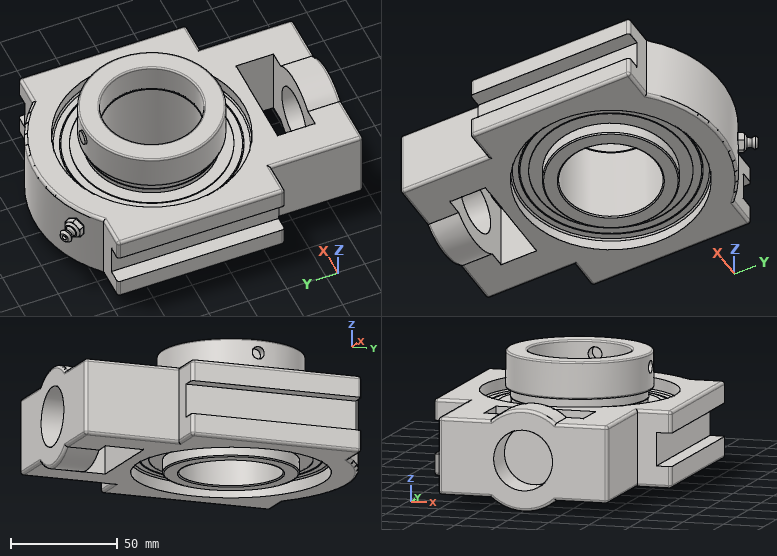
import cadquery as cq
import math


body_width = 117.0
rail_length = 86.0
body_thickness = 37.0
crown_radius = 60.0
neck_width = 83.5
neck_end_y = -90.4
edge_round = 1.5
guide_width = 16.0
guide_depth = 7.5
window_width = 49.0
window_back_y = -54.0
window_front_y = -73.2
boss_diameter = 49.0
screw_hole_diameter = 29.0
recess_diameter = 94.48
recess_chamfer = 0.8

seat_radius = 45.0
outer_ring_width = 24.0
outer_ring_chamfer = 0.6
outer_ring_bore = 76.2
seal_diameter = 77.47
seal_thickness = 2.0
seal_rise = 0.5
inner_ring_diameter = 64.52
bore_diameter = 49.21
inner_ring_bottom_z = -19.05
inner_ring_shoulder_z = 15.3
inner_ring_top_z = 23.7
inner_ring_chamfer = 0.6
spigot_diameter = 59.38

collar_diameter = 69.9
collar_bottom_z = 19.9
collar_top_z = 62.39 - boss_diameter / 2
collar_round = 0.8
collar_lip_diameter = 65.28
set_screw_diameter = 6.78
cross_hole_z = 31.3
set_screw_inner_y = 31.0
set_screw_outer_y = 35.8
pin_hole_diameter = 6.0
pin_hole_depth = 5.0

fitting_angle = 120.0
fitting_z = 6.6
hex_across_flats = 8.7
hex_base = 59.5
hex_top = 62.8
shoulder_top = 64.0
shoulder_radius = 3.3
neck_base_radius = 2.7
neck_waist = 65.4
neck_radius = 2.4
neck_top = 66.4
head_height = 68.0
head_radius = 3.35
tip_height = 69.4
tip_radius = 2.35
grease_hole_diameter = 2.26
grease_hole_depth = 2.0


def disc(diameter, bottom_z, top_z):
    """Cylinder on the shaft axis between two heights."""
    return cq.Workplane("XY").workplane(offset=bottom_z).circle(diameter / 2).extrude(top_z - bottom_z)


def plate():
    half_width = body_width / 2
    half_neck = neck_width / 2
    half_rail = rail_length / 2
    crown_x = math.sqrt(crown_radius**2 - half_rail**2)
    outline = (
        cq.Workplane("XY").workplane(offset=-body_thickness / 2)
        .moveTo(-half_neck, neck_end_y)
        .lineTo(half_neck, neck_end_y)
        .lineTo(half_neck, -half_rail)
        .lineTo(half_width, -half_rail)
        .lineTo(half_width, half_rail)
        .lineTo(crown_x, half_rail)
        .threePointArc((0, crown_radius), (-crown_x, half_rail))
        .lineTo(-half_width, half_rail)
        .lineTo(-half_width, -half_rail)
        .lineTo(-half_neck, -half_rail)
        .close()
    )
    solid = outline.extrude(body_thickness)
    solid = solid.edges("|Z and (<X or >X or <Y)").fillet(edge_round)
    return solid.faces("<Z or >Z").edges().fillet(edge_round)


def make_housing():
    boss_length = window_front_y - neck_end_y
    boss = (
        cq.Workplane("XZ").workplane(offset=-window_front_y)
        .circle(boss_diameter / 2).extrude(boss_length)
        .faces("<Y").edges().fillet(edge_round)
    )
    screw_hole = (
        cq.Workplane("XZ").workplane(offset=-window_front_y)
        .circle(screw_hole_diameter / 2).extrude(boss_length)
    )
    window_length = window_back_y - window_front_y
    window = cq.Workplane("XY").box(window_width, window_length, body_thickness)
    window = window.translate((0, (window_back_y + window_front_y) / 2, 0))
    solid = plate().cut(window).union(boss).cut(screw_hole)

    for side in (-1, 1):
        groove = cq.Workplane("XY").box(2 * guide_depth, rail_length, guide_width)
        solid = solid.cut(groove.translate((side * body_width / 2, 0, 0)))

    floor_z = outer_ring_width / 2
    for side in (-1, 1):
        recess = disc(recess_diameter, floor_z, body_thickness / 2).faces("<Z").edges().chamfer(recess_chamfer)
        if side < 0:
            recess = recess.mirror("XY")
        solid = solid.cut(recess)
    return solid.cut(cq.Workplane("XY").sphere(seat_radius))


def make_outer_ring():
    half_width = outer_ring_width / 2
    blank = disc(2 * seat_radius, -half_width, half_width)
    ring = blank.intersect(cq.Workplane("XY").sphere(seat_radius))
    ring = ring.faces("<Z or >Z").edges().chamfer(outer_ring_chamfer)
    ring = ring.cut(disc(outer_ring_bore, -half_width, half_width))
    seal_seat_z = half_width + seal_rise - seal_thickness
    ring = ring.cut(disc(seal_diameter, seal_seat_z, half_width))
    return ring.cut(disc(seal_diameter, -half_width, -seal_seat_z))


def make_seal(side):
    top_z = outer_ring_width / 2 + seal_rise
    bottom_z = top_z - seal_thickness
    seal = disc(seal_diameter, bottom_z, top_z).cut(disc(inner_ring_diameter, bottom_z, top_z))
    return seal if side > 0 else seal.mirror("XY")


def make_inner_ring():
    ring = disc(inner_ring_diameter, inner_ring_bottom_z, inner_ring_shoulder_z)
    ring = ring.faces("<Z").edges().chamfer(inner_ring_chamfer)
    ring = ring.union(disc(spigot_diameter, inner_ring_shoulder_z, inner_ring_top_z))
    ring = ring.cut(disc(bore_diameter, inner_ring_bottom_z, inner_ring_top_z))
    bore_edges = ring.faces("<Z or >Z").edges(cq.selectors.RadiusNthSelector(0))
    return bore_edges.chamfer(inner_ring_chamfer)


def make_set_screw():
    length = set_screw_outer_y - set_screw_inner_y
    return (
        cq.Workplane("XZ", origin=(0, set_screw_outer_y, cross_hole_z))
        .circle(set_screw_diameter / 2).extrude(length)
    )


def make_collar():
    collar = disc(collar_diameter, collar_bottom_z, collar_top_z)
    collar = collar.faces("<Z or >Z").edges().fillet(collar_round)
    collar = collar.union(disc(collar_lip_diameter, inner_ring_shoulder_z, collar_bottom_z))
    collar = collar.cut(disc(spigot_diameter, inner_ring_shoulder_z, inner_ring_top_z))
    collar = collar.cut(disc(bore_diameter, inner_ring_top_z, collar_top_z))
    collar = collar.faces(">Z").edges(cq.selectors.RadiusNthSelector(0)).fillet(collar_round)
    screw_hole = (
        cq.Workplane("XZ", origin=(0, collar_diameter / 2, cross_hole_z))
        .circle(set_screw_diameter / 2).extrude(collar_diameter / 2)
    )
    pin_hole = (
        cq.Workplane("YZ", origin=(collar_diameter / 2 - pin_hole_depth, 0, cross_hole_z))
        .circle(pin_hole_diameter / 2).extrude(pin_hole_depth)
    )
    return collar.cut(screw_hole).cut(pin_hole)


def make_grease_fitting():
    hexagon = (
        cq.Workplane("YZ").workplane(offset=hex_base)
        .polygon(6, hex_across_flats, circumscribed=True).extrude(hex_top - hex_base)
    )
    nipple = (
        cq.Workplane("XZ")
        .moveTo(hex_top, 0)
        .lineTo(hex_top, hex_across_flats / 2)
        .lineTo(shoulder_top, shoulder_radius)
        .lineTo(shoulder_top, neck_base_radius)
        .lineTo(neck_waist, neck_radius)
        .lineTo(neck_top, neck_radius)
        .lineTo(head_height, head_radius)
        .lineTo(tip_height, tip_radius)
        .lineTo(tip_height, 0)
        .close()
        .revolve(360, (0, 0, 0), (1, 0, 0))
    )
    grease_hole = (
        cq.Workplane("YZ").workplane(offset=tip_height - grease_hole_depth)
        .circle(grease_hole_diameter / 2).extrude(grease_hole_depth)
    )
    fitting = hexagon.union(nipple).cut(grease_hole)
    return fitting.translate((0, 0, fitting_z)).rotate((0, 0, 0), (0, 0, 1), fitting_angle)


grease_fitting = make_grease_fitting()
housing = make_housing().cut(grease_fitting)
outer_ring = make_outer_ring()
inner_ring = make_inner_ring()
seals = [make_seal(side) for side in (-1, 1)]
set_screw = make_set_screw()
collar = make_collar()

result = cq.Compound.makeCompound([
    housing.val(),
    outer_ring.val(),
    inner_ring.val(),
    *[seal.val() for seal in seals],
    collar.val(),
    set_screw.val(),
    grease_fitting.val(),
])